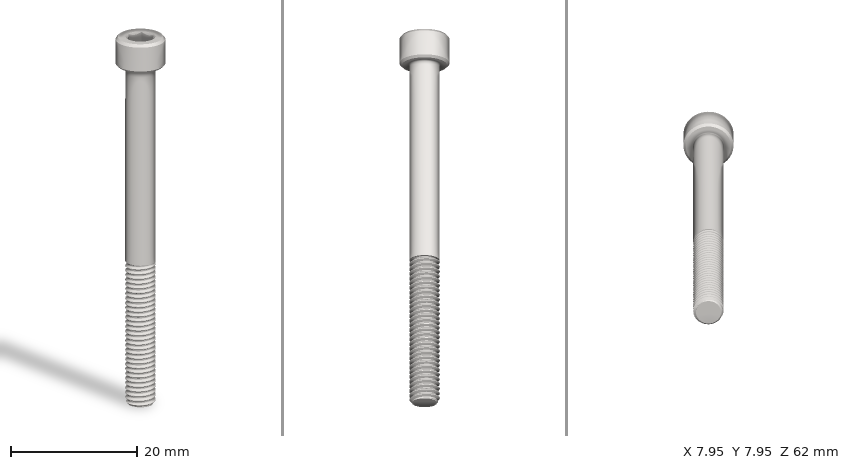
import cadquery as cq
import math

total_length = 62.0
head_diameter = 7.95
head_height = 4.85
head_chamfer = 0.4
head_top_chamfer_height = 0.45
shank_diameter = 4.85
under_head_fillet = 0.2

socket_across_flats = 3.95
socket_depth = 2.4
socket_mouth_diameter = 4.7
socket_mouth_angle = 45.0

thread_length = 24.1
thread_pitch = 0.795
thread_crest_flat = thread_pitch / 8
thread_root_flat = thread_pitch / 4
flank_half_angle = math.radians(30)
tip_chamfer = 0.5
top_groove_drop = 0.175
ridge_sink = 0.05

head_radius = head_diameter / 2
shank_radius = shank_diameter / 2
groove_mouth = thread_pitch - thread_crest_flat
thread_depth = (groove_mouth - thread_root_flat) / 2 / math.tan(flank_half_angle)
root_radius = shank_radius - thread_depth


def make_blank():
    """Turned head and plain shank, with the fillet under the head."""
    head_bottom = total_length - head_height
    fillet_drop = under_head_fillet * (1 - math.sqrt(0.5))
    return (
        cq.Workplane("XZ")
        .moveTo(0, thread_length)
        .lineTo(shank_radius, thread_length)
        .lineTo(shank_radius, head_bottom - under_head_fillet)
        .threePointArc(
            (shank_radius + fillet_drop, head_bottom - fillet_drop),
            (shank_radius + under_head_fillet, head_bottom),
        )
        .lineTo(head_radius - head_chamfer, head_bottom)
        .lineTo(head_radius, head_bottom + head_chamfer)
        .lineTo(head_radius, total_length - head_top_chamfer_height)
        .lineTo(head_radius - head_chamfer, total_length)
        .lineTo(0, total_length)
        .close()
        .revolve(360, (0, 0, 0), (0, 1, 0))
        .rotate((0, 0, 0), (0, 0, 1), -90)
    )


def make_socket():
    """Hexagonal recess with a conical lead-in at its mouth."""
    corner_diameter = socket_across_flats / math.cos(math.pi / 6)
    hexagon = (
        cq.Workplane("XY", origin=(0, 0, total_length - socket_depth))
        .transformed(rotate=(0, 0, 90))
        .polygon(6, corner_diameter)
        .extrude(socket_depth)
    )
    mouth_radius = socket_mouth_diameter / 2
    cone_depth = mouth_radius / math.tan(math.radians(socket_mouth_angle))
    lead_in = cq.Workplane(
        cq.Solid.makeCone(0, mouth_radius, cone_depth, pnt=cq.Vector(0, 0, total_length - cone_depth))
    )
    return hexagon.union(lead_in)


def make_ridge_turn():
    """One turn of the thread ridge, starting on the +X side at Z = 0."""
    base_radius = root_radius - ridge_sink
    base_half_width = (thread_pitch - thread_root_flat) / 2 + ridge_sink * math.tan(flank_half_angle)
    crest_half_width = thread_crest_flat / 2
    profile = [
        (base_radius, -base_half_width),
        (shank_radius, -crest_half_width),
        (shank_radius, crest_half_width),
        (base_radius, base_half_width),
    ]
    helices = [
        cq.Wire.makeHelix(thread_pitch, thread_pitch, radius).translate(cq.Vector(0, 0, height))
        for radius, height in profile
    ]
    faces = [
        cq.Face.makeRuledSurface(helix, helices[(index + 1) % len(helices)])
        for index, helix in enumerate(helices)
    ]
    for end in (0, 1):
        corners = [helix.positionAt(end) for helix in helices]
        faces.append(cq.Face.makeFromWires(cq.Wire.makePolygon(corners, close=True)))
    return cq.Workplane(cq.Solid.makeSolid(cq.Shell.makeShell(faces)).fix())


def make_thread_envelope():
    """Space the ridge may fill: from the chamfered tip up to the plain shank."""
    outer_radius = shank_radius + tip_chamfer
    return (
        cq.Workplane("XZ")
        .polyline([
            (0, 0),
            (shank_radius - tip_chamfer, 0),
            (outer_radius, 2 * tip_chamfer),
            (outer_radius, thread_length),
            (0, thread_length),
        ])
        .close()
        .revolve(360, (0, 0, 0), (0, 1, 0))
        .rotate((0, 0, 0), (0, 0, 1), -90)
    )


def make_threaded_rod():
    """Root-diameter core wrapped in ridge turns, the end turns trimmed to the envelope."""
    rod = (
        cq.Workplane("XY")
        .circle(root_radius)
        .extrude(thread_length)
        .rotate((0, 0, 0), (0, 0, 1), -90)
    )
    ridge_turn = make_ridge_turn()
    envelope = make_thread_envelope()
    ridge_top = thread_length - top_groove_drop + thread_pitch / 2
    turns = math.ceil(ridge_top / thread_pitch) + 1
    for turn in range(turns):
        turn_bottom = ridge_top - turn * thread_pitch
        piece = ridge_turn.translate((0, 0, turn_bottom))
        reaches_tip = turn_bottom < tip_chamfer + thread_pitch
        reaches_shank = turn_bottom + 2 * thread_pitch > thread_length
        if reaches_tip or reaches_shank:
            piece = piece.intersect(envelope, clean=False)
        rod = rod.union(piece, clean=False)
    return rod


screw_body = make_blank().union(make_threaded_rod(), clean=False)
result = screw_body.cut(make_socket(), clean=False)